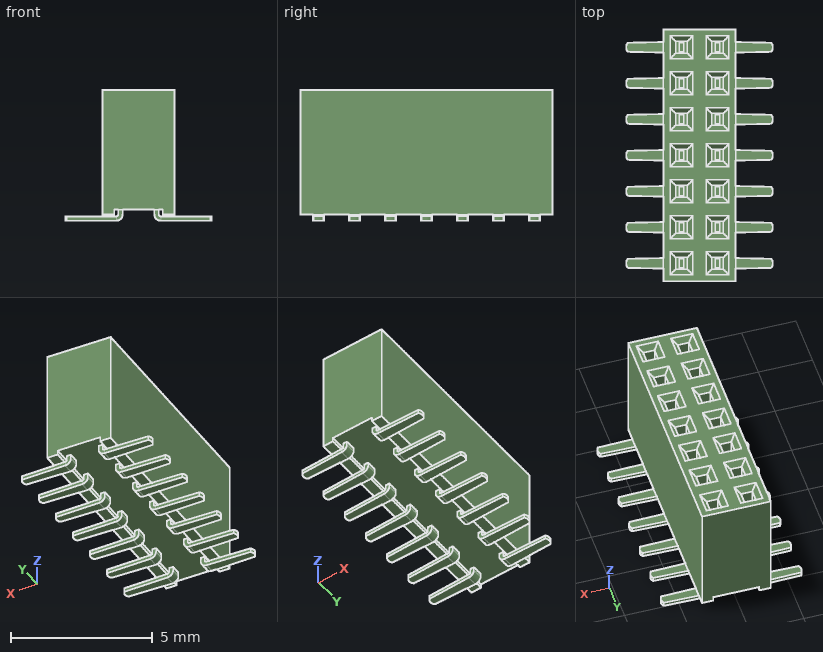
import cadquery as cq


body_length = 8.89
positions = 7
pitch = body_length / positions

body_width = 2 * pitch
overall_height = 4.62
standoff = 0.22
channel_width = 1.7
channel_height = 0.17

mouth_size = 0.8
socket_size = 0.42
funnel_depth = 0.205
socket_depth = 2.67
socket_floor = overall_height - socket_depth

overall_width = 5.18
strip_thickness = 0.16
strip_width = 0.4
tip_width = 0.33
tip_bulge = 0.06
inner_bend_radius = 0.07
blade_width = 0.32
blade_rise = 0.09

row_x = pitch / 2
contact_reach = overall_width / 2
stem_inner_x = row_x - strip_thickness / 2
stem_outer_x = row_x + strip_thickness / 2
bend_end_x = stem_outer_x + inner_bend_radius

column_positions = [(index - (positions - 1) / 2) * pitch for index in range(positions)]


def make_housing():
    """Plain block with a shallow channel along its underside."""
    block = cq.Workplane("XY", origin=(0, 0, standoff)).box(
        body_width, body_length, overall_height - standoff, centered=(True, True, False)
    )
    channel = cq.Workplane("XY", origin=(0, 0, standoff)).box(
        channel_width, body_length, channel_height, centered=(True, True, False)
    )
    return block.cut(channel)


def make_socket():
    """Square blind hole with a tapered lead-in, for the socket at +X and Y = 0."""
    hole = cq.Workplane("XY", origin=(row_x, 0, socket_floor)).box(
        socket_size, socket_size, socket_depth, centered=(True, True, False)
    )
    funnel = (
        cq.Workplane("XY", origin=(row_x, 0, overall_height))
        .rect(mouth_size, mouth_size)
        .workplane(offset=-funnel_depth)
        .rect(socket_size, socket_size)
        .loft(ruled=True)
    )
    return hole.union(funnel)


def make_contact():
    """Bent strip with a tapered, round-ended foot toward +X and a narrower blade in the socket."""
    side_profile = (
        cq.Workplane("XZ", origin=(0, strip_width / 2, 0))
        .moveTo(stem_inner_x, socket_floor)
        .lineTo(stem_inner_x, strip_thickness + inner_bend_radius)
        .radiusArc((bend_end_x, 0), -(inner_bend_radius + strip_thickness))
        .lineTo(contact_reach, 0)
        .lineTo(contact_reach, strip_thickness)
        .lineTo(bend_end_x, strip_thickness)
        .radiusArc((stem_outer_x, strip_thickness + inner_bend_radius), inner_bend_radius)
        .lineTo(stem_outer_x, socket_floor)
        .close()
        .extrude(strip_width)
    )
    plan_outline = (
        cq.Workplane("XY")
        .moveTo(stem_inner_x, -strip_width / 2)
        .lineTo(bend_end_x, -strip_width / 2)
        .lineTo(contact_reach - tip_bulge, -tip_width / 2)
        .threePointArc((contact_reach, 0), (contact_reach - tip_bulge, tip_width / 2))
        .lineTo(bend_end_x, strip_width / 2)
        .lineTo(stem_inner_x, strip_width / 2)
        .close()
        .extrude(socket_floor)
    )
    blade = cq.Workplane("XY", origin=(row_x, 0, socket_floor)).box(
        strip_thickness, blade_width, blade_rise, centered=(True, True, False)
    )
    return side_profile.intersect(plan_outline).union(blade)


def both_rows(shape):
    """Copy a +X feature along the strip and turn the copies round to the -X row."""
    copies = []
    for y in column_positions:
        placed = shape.translate((0, y, 0))
        copies.append(placed.val())
        copies.append(placed.rotate((0, y, 0), (0, y, 1), 180).val())
    return copies


result = make_housing()
for socket in both_rows(make_socket()):
    result = result.cut(cq.Workplane(socket))
for contact in both_rows(make_contact()):
    result = result.union(cq.Workplane(contact))